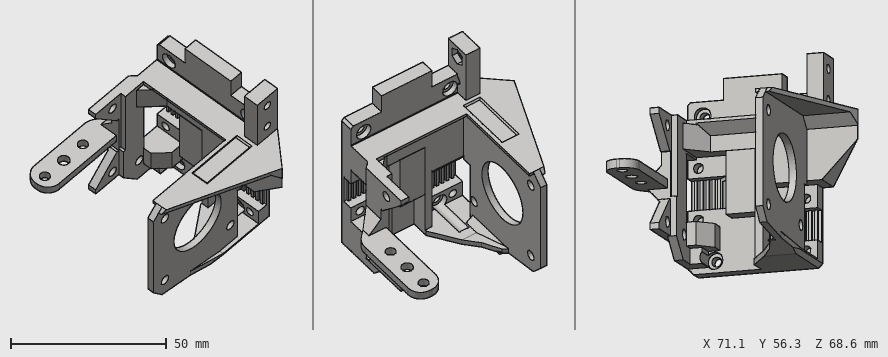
import cadquery as cq
import math


height = 68.6
total_depth = 56.3
total_width = 71.1
roof_top = 48.6
roof_bottom = 47.5
wing_roof_bottom = 47.0
roof_depth = 14.8
plate_depth = 5.05
wall_depth = 11.1
floor_thickness = 2.0

body_left = 10.9
body_right = 55.1
body_corner = 1.4
side_wall_right = 13.95

plate_top = 56.75
plate_chamfer = 1.0
head_left = 23.05
head_right = 43.0
head_top = 63.9
ledge_size = 0.2
post_left = 53.1
post_right = 58.75
post_depth = 9.6
post_hole_depth = 4.85
post_hole_heights = (53.9, 64.2)
post_hole_diameter = 3.0
nut_flats = 5.5
nut_trap_length = 2.1

motor_left = 51.1
motor_right = 53.6
motor_front = 53.2
motor_corner = 4.0
motor_corner_bottom = 8.9
motor_back = 13.4
motor_back_bevel = 1.3
motor_upper_bottom = 24.9
motor_centre_depth = 32.3
motor_centre_z = 26.0
motor_bore = 22.3
motor_hole_pitch = 31.0
motor_hole_diameter = 3.5

slope_start = 21.75
slope_end = motor_front - motor_corner
slope_rise = 4.4

wing_bottom = 26.4
wing_tip_depth = 11.25
wing_tip_bottom = 39.0
wing_front_x = 54.75
wing_front_depth = 50.7
roof_inner_edge = 49.65
roof_pocket_right = 57.75
roof_pocket_start = 11.0
roof_pocket_end = 32.3
roof_pocket_depth = 0.6

left_recess_right = 35.9
left_recess_top = 38.5
strip_left = 26.0
strip_bottom = 17.6
strip_setback = 0.15
right_recess_left = 38.7
window_top = 37.7
window_bottom = 15.1
window_depth = 14.65

arm_left = 8.8
arm_right = 11.95
arm_front = 35.3
arm_waist = 24.3
side_wall_depth = 23.3
side_wall_step_z = 21.6
arm_bottom = 8.5
arm_tip_height = 2.05
arm_shelf = 0.85
arm_slope_run = arm_front - arm_waist - arm_shelf
arm_hole_depth = 27.25
arm_hole_heights = (12.6, 44.4)
arm_hole_diameter = 3.5
tab_bottom = 24.4
tab_top = 27.4
tab_corner_radius = 5.0
tab_elbow_radius = 6.4
tab_hole_x = body_left / 2
tab_holes = ((34.3, 3.5), (43.3, 4.0), (52.3, 3.5))
gusset_reach = 4.7
outer_diagonal = 25.1
inner_diagonal = 31.9
brace_right = 21.9
brace_bottom = 7.25
pad_right = 17.9

screw_diameter = 3.2
screw_head_diameter = 5.6
screw_seat_depth = 3.0
screws = ((16.0, 51.9, roof_depth), (50.15, 51.9, post_depth), (20.05, 4.05, roof_depth), (46.1, 4.05, 18.3))

belt_height = 10.6
belt_floor = 2.0
tooth_depth = 0.8
tooth_pitch = 2.0
left_belt_end = 24.1
left_belt_bottom = 21.05
right_belt_end = 41.95
right_belt_bottom = 8.2
left_belt_hole_x = 14.6
left_belt_hole_diameter = 3.3
right_belt_hole_x = 51.3
right_belt_hole_diameter = 3.0
belt_hole_spacing = 17.1
belt_hole_bottom = 1.4
ramp_relief_start = 1.1
left_relief_height = 9.3
right_relief_height = 8.05
ramp_relief_depth = 0.2


def box(x_range, depth_range, z_range):
    """Box between two x, two depth and two z values."""
    (x0, x1), (d0, d1), (z0, z1) = x_range, depth_range, z_range
    return cq.Workplane("XY").box(x1 - x0, d1 - d0, z1 - z0, centered=False).translate((x0, -d1, z0))


def side_plane(x):
    """Plane facing left at x; its coordinates are (depth, z)."""
    return cq.Workplane(cq.Plane(origin=(x, 0, 0), xDir=(0, -1, 0), normal=(-1, 0, 0)))


def flat_plane(z):
    """Plane facing down at z; its coordinates are (x, depth)."""
    return cq.Workplane(cq.Plane(origin=(0, 0, z), xDir=(1, 0, 0), normal=(0, 0, -1)))


def front_plane(depth):
    """Plane facing forward at the given depth; its coordinates are (x, z)."""
    return cq.Workplane("XZ").workplane(offset=depth)


def side_prism(points, x0, x1):
    return side_plane(x1).polyline(points).close().extrude(x1 - x0)


def flat_prism(points, z0, z1):
    return flat_plane(z1).polyline(points).close().extrude(z1 - z0)


def front_prism(points, depth0, depth1):
    return front_plane(depth0).polyline(points).close().extrude(depth1 - depth0)


def cross_hole(depth, z, diameter, x0, x1):
    """Round hole along x."""
    return side_plane(x1).center(depth, z).circle(diameter / 2).extrude(x1 - x0)


def depth_hole(x, z, diameter, depth0, depth1):
    """Round hole along the depth."""
    return front_plane(depth0).center(x, z).circle(diameter / 2).extrude(depth1 - depth0)


def make_back_plate():
    corner_left = floor_thickness
    outline = [
        (body_left + corner_left, 0),
        (body_right - body_corner, 0),
        (body_right, body_corner),
        (body_right, plate_top),
        (head_right, plate_top),
        (head_right, head_top),
        (head_left, head_top),
        (head_left, plate_top),
        (body_left + plate_chamfer, plate_top),
        (body_left, plate_top - plate_chamfer),
        (body_left, corner_left),
    ]
    plate = front_prism(outline, 0, plate_depth)
    ledge = [
        (plate_depth, roof_top),
        (plate_depth + ledge_size, roof_top),
        (plate_depth, roof_top + ledge_size),
    ]
    return plate.union(side_prism(ledge, body_left, post_left))


def make_front_wall():
    wall = box((body_left, body_right), (plate_depth, wall_depth), (floor_thickness, roof_top))
    left_recess = box((side_wall_right, left_recess_right), (plate_depth, wall_depth), (0, left_recess_top))
    right_recess = box(
        (right_recess_left, body_right),
        (plate_depth, wall_depth),
        (floor_thickness, wing_bottom),
    )
    strip = box(
        (strip_left, left_recess_right),
        (plate_depth, wall_depth - strip_setback),
        (strip_bottom, left_recess_top),
    )
    return wall.cut(left_recess).cut(right_recess).union(strip)


def make_roof():
    corner_run = roof_depth - wall_depth
    profile = [
        (0, roof_top),
        (roof_depth, roof_top),
        (roof_depth, roof_bottom),
        (wall_depth, roof_bottom - corner_run),
        (0, roof_bottom - corner_run),
    ]
    roof = side_prism(profile, body_left, motor_right)
    thick_corner = box(
        (body_left, inner_diagonal - roof_depth),
        (wall_depth, roof_depth),
        (wing_roof_bottom, roof_top),
    )
    return roof.union(thick_corner)


def make_wing():
    plan = [
        (motor_left, 0),
        (post_right, 0),
        (total_width, wing_tip_depth),
        (wing_front_x, wing_front_depth),
        (motor_left, wing_front_depth),
    ]
    chamfer_run = roof_top - wing_roof_bottom
    corner_run = roof_depth - wall_depth
    section = [
        (0, roof_top),
        (wing_front_depth - chamfer_run, roof_top),
        (wing_front_depth, wing_roof_bottom),
        (wall_depth + corner_run, wing_roof_bottom),
        (wall_depth, wing_roof_bottom - corner_run),
        (wall_depth, wing_bottom),
        (0, wing_bottom),
    ]
    front_outline = [
        (motor_left, roof_top),
        (total_width, roof_top),
        (total_width, wing_tip_bottom),
        (post_right, wing_bottom),
        (motor_left, wing_bottom),
    ]
    wing = flat_prism(plan, 0, roof_top)
    wing = wing.intersect(side_prism(section, 0, total_width))
    wing = wing.intersect(front_prism(front_outline, 0, total_depth))
    lip = box((roof_inner_edge, motor_left), (wall_depth, slope_end), (roof_bottom, roof_top))
    return wing.union(lip)


def make_roof_pocket():
    floor_z = roof_top - roof_pocket_depth
    lengthwise = [
        (roof_pocket_start, roof_top),
        (roof_pocket_end, roof_top),
        (roof_pocket_end - roof_pocket_depth, floor_z),
        (roof_pocket_start + roof_pocket_depth, floor_z),
    ]
    crosswise = [
        (motor_left, roof_top),
        (roof_pocket_right, roof_top),
        (roof_pocket_right - roof_pocket_depth, floor_z),
        (motor_left, floor_z),
    ]
    pocket = side_prism(lengthwise, motor_left, roof_pocket_right)
    return pocket.intersect(front_prism(crosswise, roof_pocket_start, roof_pocket_end))


def make_motor_wall():
    outline = [
        (wall_depth, roof_top),
        (motor_front - motor_corner, roof_top),
        (motor_front, roof_top - motor_corner),
        (motor_front, motor_corner_bottom),
        (slope_end, slope_rise),
        (slope_start, 0),
        (motor_back, 0),
        (motor_back, motor_upper_bottom),
        (wall_depth, motor_upper_bottom),
    ]
    wall = side_prism(outline, motor_left, motor_right)
    bevel = [
        (motor_left, motor_back),
        (motor_left + motor_back_bevel, motor_back),
        (motor_left, motor_back + motor_back_bevel),
    ]
    return wall.cut(flat_prism(bevel, floor_thickness, motor_upper_bottom))


def make_motor_holes():
    half_pitch = motor_hole_pitch / 2
    holes = cross_hole(motor_centre_depth, motor_centre_z, motor_bore, motor_left, motor_right)
    for side, level in ((1, 1), (1, -1), (-1, -1)):
        depth = motor_centre_depth + side * half_pitch
        z = motor_centre_z + level * half_pitch
        holes = holes.union(cross_hole(depth, z, motor_hole_diameter, motor_left, motor_right))
    return holes


def make_floor():
    front_depth = 35.8
    bend_depth = 34.35
    bend_x = 49.4
    inner_start_depth = 11.65
    inner_kink = (46.6, 27.25)
    foot_start = 16.1
    foot_width = 2.55
    slope = slope_rise / (slope_end - slope_start)
    end_rise = slope * (front_depth - slope_start)
    section = [
        (0, 0),
        (slope_start, 0),
        (front_depth, end_rise),
        (front_depth, end_rise + floor_thickness),
        (slope_start, floor_thickness),
        (0, floor_thickness),
    ]
    plan = [
        (left_recess_right, plate_depth),
        (left_recess_right, inner_start_depth),
        inner_kink,
        (bend_x, bend_depth),
        (motor_left, front_depth),
        (motor_right, front_depth),
        (body_right, slope_start),
        (body_right, plate_depth),
    ]
    floor = side_prism(section, left_recess_right, body_right).intersect(flat_prism(plan, 0, roof_top))
    corner = [
        (body_right, 0),
        (body_right, body_corner),
        (body_right - body_corner, 0),
    ]
    floor = floor.cut(front_prism(corner, 0, front_depth))
    foot = [
        (motor_left, floor_thickness),
        (motor_left, 2 * floor_thickness),
        (motor_left - foot_width, floor_thickness),
    ]
    return floor.union(front_prism(foot, foot_start, bend_depth))


def make_side_wall():
    drop = arm_bottom - floor_thickness
    outline = [
        (0, roof_top),
        (side_wall_depth, roof_top),
        (side_wall_depth, side_wall_step_z),
        (arm_waist, side_wall_step_z),
        (arm_waist, arm_bottom),
        (arm_waist - drop, floor_thickness),
        (0, floor_thickness),
    ]
    return side_prism(outline, body_left, side_wall_right)


def make_arm():
    shoulder = outer_diagonal - body_left
    outline = [
        (shoulder, roof_top),
        (arm_front, roof_top),
        (arm_front, roof_top - arm_tip_height),
        (arm_front - arm_slope_run, roof_top - arm_tip_height - arm_slope_run),
        (arm_waist, roof_top - arm_tip_height - arm_slope_run),
        (arm_waist, arm_bottom + arm_tip_height + arm_slope_run),
        (arm_front - arm_slope_run, arm_bottom + arm_tip_height + arm_slope_run),
        (arm_front, arm_bottom + arm_tip_height),
        (arm_front, arm_bottom),
        (shoulder, arm_bottom),
    ]
    arm = side_prism(outline, arm_left, arm_right)
    gusset_outline = [
        (arm_right, tab_top + gusset_reach),
        (arm_left, tab_top + gusset_reach),
        (arm_left - gusset_reach, tab_top),
        (arm_left - gusset_reach, tab_bottom),
        (arm_left, tab_bottom - gusset_reach),
        (arm_right, tab_bottom - gusset_reach),
    ]
    gusset = front_prism(gusset_outline, shoulder, arm_front)
    gusset = gusset.intersect(side_prism(outline, 0, arm_right))
    arm = arm.union(gusset)
    outside = [(0, shoulder), (body_left, shoulder), (0, outer_diagonal)]
    return arm.cut(flat_prism(outside, 0, roof_top))


def make_tab():
    outline = [
        (body_left, outer_diagonal - body_left),
        (body_left, total_depth),
        (0, total_depth),
        (0, outer_diagonal),
    ]
    tab = flat_prism(outline, tab_bottom, tab_top)
    tab = tab.edges("|Z and <Y").fillet(tab_corner_radius)
    elbow = cq.selectors.NearestToPointSelector((0, -outer_diagonal, (tab_bottom + tab_top) / 2))
    tab = tab.edges("|Z").edges(elbow).fillet(tab_elbow_radius)
    for depth, diameter in tab_holes:
        hole = flat_plane(tab_top).center(tab_hole_x, depth).circle(diameter / 2)
        tab = tab.cut(hole.extrude(tab_top - tab_bottom))
    return tab


def make_braces():
    upper_plan = [
        (side_wall_right, wall_depth),
        (side_wall_right, inner_diagonal - side_wall_right),
        (inner_diagonal - wall_depth, wall_depth),
    ]
    upper = flat_prism(upper_plan, left_recess_top, wing_roof_bottom)
    flat_right = inner_diagonal - roof_depth
    lower_plan = [
        (side_wall_right, plate_depth),
        (side_wall_right, roof_depth),
        (flat_right, roof_depth),
        (brace_right, inner_diagonal - brace_right),
        (brace_right, plate_depth),
    ]
    lower = flat_prism(lower_plan, brace_bottom, window_bottom)
    pad = box((side_wall_right, pad_right), (plate_depth, wall_depth), (floor_thickness, brace_bottom))
    return upper.union(lower).union(pad)


def make_post():
    post = box((post_left, post_right), (0, post_depth), (roof_top, height))
    for z in post_hole_heights:
        post = post.cut(cross_hole(post_hole_depth, z, post_hole_diameter, post_left, post_right))
    nut_corners = nut_flats / math.cos(math.pi / 6)
    trap = side_plane(post_left + nut_trap_length).center(post_hole_depth, post_hole_heights[1])
    trap = trap.transformed(rotate=(0, 0, 90)).polygon(6, nut_corners).extrude(nut_trap_length)
    return post.cut(trap)


def make_belt_clamp(end, side, bottom, open_edge):
    """Toothed belt pocket from a ramp at end to the open edge; side is the direction of travel."""
    toothed_start = end + side * (plate_depth - belt_floor)
    groove_floor = belt_floor - tooth_depth
    heights = (bottom, bottom + belt_height)
    plan = [
        (end, plate_depth),
        (toothed_start, belt_floor),
        (toothed_start, groove_floor),
        (open_edge, groove_floor),
        (open_edge, plate_depth),
    ]
    pocket = flat_prism(plan, *heights)
    count = math.floor(abs(open_edge - toothed_start) / tooth_pitch)
    for index in range(count):
        start = toothed_start + side * index * tooth_pitch
        tooth_sides = sorted((start, start + side * tooth_pitch / 2))
        pocket = pocket.cut(box(tooth_sides, (groove_floor, belt_floor), heights))
    return pocket


def make_ramp_relief(end, side, bottom, relief_height):
    """Shallow relief on the ramp of a belt clamp."""
    start_depth = belt_floor + ramp_relief_start
    start_x = end + side * (plate_depth - start_depth)
    plan = [
        (end, plate_depth),
        (start_x, start_depth),
        (start_x, start_depth - ramp_relief_depth),
        (end, plate_depth - ramp_relief_depth),
    ]
    return flat_prism(plan, bottom, bottom + relief_height)


def make_belt_holes(x, diameter, clamp_bottom):
    middle = clamp_bottom + belt_height / 2
    offset = belt_hole_spacing / 2
    lower = depth_hole(x, middle - offset, diameter, belt_hole_bottom, plate_depth)
    upper = depth_hole(x, middle + offset, diameter, belt_hole_bottom, plate_depth)
    return lower.union(upper)


result = make_back_plate()
for feature in (
    make_front_wall(),
    make_roof(),
    make_wing(),
    make_motor_wall(),
    make_floor(),
    make_side_wall(),
    make_arm(),
    make_tab(),
    make_braces(),
    make_post(),
):
    result = result.union(feature)

result = result.cut(make_motor_holes())
result = result.cut(make_roof_pocket())
side_window = box((arm_left, side_wall_right), (plate_depth, window_depth), (window_bottom, window_top))
result = result.cut(side_window)
for hole_z in arm_hole_heights:
    result = result.cut(cross_hole(arm_hole_depth, hole_z, arm_hole_diameter, arm_left, arm_right))
access_depth = motor_centre_depth - motor_hole_pitch / 2
access_z = motor_centre_z - motor_hole_pitch / 2
result = result.cut(cross_hole(access_depth, access_z, motor_hole_diameter, arm_left, brace_right))

for screw_x, screw_z, clearance_end in screws:
    result = result.cut(depth_hole(screw_x, screw_z, screw_diameter, 0, clearance_end))
    result = result.cut(
        depth_hole(screw_x, screw_z, screw_head_diameter, screw_seat_depth, clearance_end)
    )

result = result.cut(make_belt_clamp(left_belt_end, -1, left_belt_bottom, body_left))
result = result.cut(make_belt_clamp(right_belt_end, 1, right_belt_bottom, body_right))
result = result.cut(make_ramp_relief(left_belt_end, -1, left_belt_bottom, left_relief_height))
right_relief_bottom = right_belt_bottom + belt_height - right_relief_height
result = result.cut(make_ramp_relief(right_belt_end, 1, right_relief_bottom, right_relief_height))
result = result.cut(make_belt_holes(left_belt_hole_x, left_belt_hole_diameter, left_belt_bottom))
result = result.cut(make_belt_holes(right_belt_hole_x, right_belt_hole_diameter, right_belt_bottom))